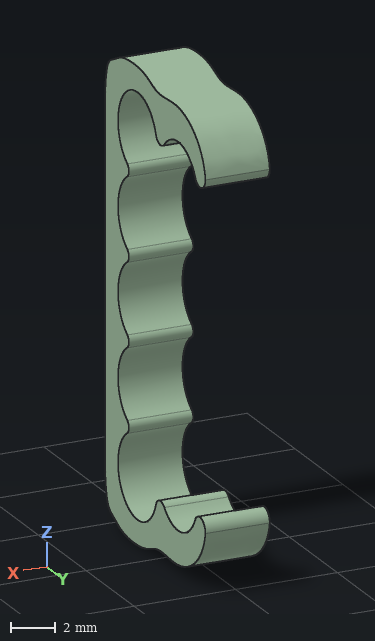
import cadquery as cq
import math

width = 3.175
depth = 10.46
height = 22.78

pocket_radius = 2.032
pocket_pitch = 2 * pocket_radius
spine_thickness = 1.35
ridge_height = 1.13
straight_back_half = 9.03

hollow_radius = 1.98
hollow_offset = 7.61
hollow_level = 7.26
tooth_radius = 0.52
tip_radius = 0.57

back_y = -depth / 2
top_z = height / 2
pocket_y = back_y + spine_thickness + pocket_radius
middle_pocket, inner_pocket, end_pocket = [(pocket_y, i * pocket_pitch) for i in range(3)]
hollow = (back_y + hollow_offset, hollow_level)

ridge_gap = pocket_radius - ridge_height
ridge_radius = ridge_gap**2 / (2 * ridge_height)
ridge_y = pocket_y - ridge_gap - ridge_radius
lower_ridge, upper_ridge = [(ridge_y, (i + 0.5) * pocket_pitch) for i in range(2)]

tip_y = depth / 2 - tip_radius
tip_rise = math.sqrt((hollow_radius + tip_radius) ** 2 - (tip_y - hollow[0]) ** 2)
tip = (tip_y, hollow_level + tip_rise)

outer_side = [
    (0.1, 1.5),
    (0.38, 0.8),
    (0.85, 0.51),
    (1.5, 0.22),
    (3.0, 0.0),
    (4.6, 0.25),
    (5.15, 0.45),
    (5.75, 0.54),
    (7.3, 0.48),
    (8.65, 0.78),
    (9.67, 1.46),
    (10.19, 2.15),
]

toward_front = 0
toward_top = 90
toward_back = 180
toward_bottom = 270
above_pocket_floor = 165


def touch_point(center_a, radius_a, center_b, radius_b):
    """Point where two circles touch from outside."""
    share = radius_a / (radius_a + radius_b)
    return tuple(a + (b - a) * share for a, b in zip(center_a, center_b))


def tooth_center():
    """Centre of the circle that touches both the hollow and the end pocket."""
    span_y = end_pocket[0] - hollow[0]
    span_z = end_pocket[1] - hollow[1]
    span = math.hypot(span_y, span_z)
    to_hollow = hollow_radius + tooth_radius
    to_pocket = pocket_radius + tooth_radius
    along = (span**2 + to_hollow**2 - to_pocket**2) / (2 * span)
    across = math.sqrt(to_hollow**2 - along**2)
    return (
        hollow[0] + (along * span_y + across * span_z) / span,
        hollow[1] + (along * span_z - across * span_y) / span,
    )


def arc_to(outline, center, radius, direction, end):
    """Add an arc about center that passes through the given direction (degrees)."""
    angle = math.radians(direction)
    middle = (center[0] + radius * math.cos(angle), center[1] + radius * math.sin(angle))
    return outline.threePointArc(middle, end)


def half_profile():
    """Upper half of the clip outline, closed along mid height."""
    tooth = tooth_center()
    tip_end = touch_point(tip, tip_radius, hollow, hollow_radius)
    tooth_start = touch_point(hollow, hollow_radius, tooth, tooth_radius)
    tooth_end = touch_point(tooth, tooth_radius, end_pocket, pocket_radius)
    side_points = [(back_y + offset, top_z - drop) for offset, drop in outer_side]
    side_points.append((depth / 2, tip[1]))

    outline = cq.Workplane("YZ", origin=(-width / 2, 0, 0)).moveTo(back_y, 0)
    outline = outline.lineTo(back_y, straight_back_half)
    side_tangents = [(0, 1)] + [None] * len(side_points)
    outline = outline.spline(side_points, tangents=side_tangents, includeCurrent=True)
    outline = arc_to(outline, tip, tip_radius, toward_bottom, tip_end)
    outline = arc_to(outline, hollow, hollow_radius, toward_top, tooth_start)
    outline = arc_to(outline, tooth, tooth_radius, toward_bottom, tooth_end)

    start_pocket = end_pocket
    for ridge, next_pocket in ((upper_ridge, inner_pocket), (lower_ridge, middle_pocket)):
        ridge_top = touch_point(start_pocket, pocket_radius, ridge, ridge_radius)
        ridge_bottom = touch_point(ridge, ridge_radius, next_pocket, pocket_radius)
        outline = arc_to(outline, start_pocket, pocket_radius, toward_back, ridge_top)
        outline = arc_to(outline, ridge, ridge_radius, toward_front, ridge_bottom)
        start_pocket = next_pocket
    floor_point = (pocket_y - pocket_radius, 0)
    outline = arc_to(outline, middle_pocket, pocket_radius, above_pocket_floor, floor_point)
    return outline.close()


upper_half = half_profile().extrude(width)
lower_half = upper_half.mirror("XY")
result = upper_half.union(lower_half).clean()